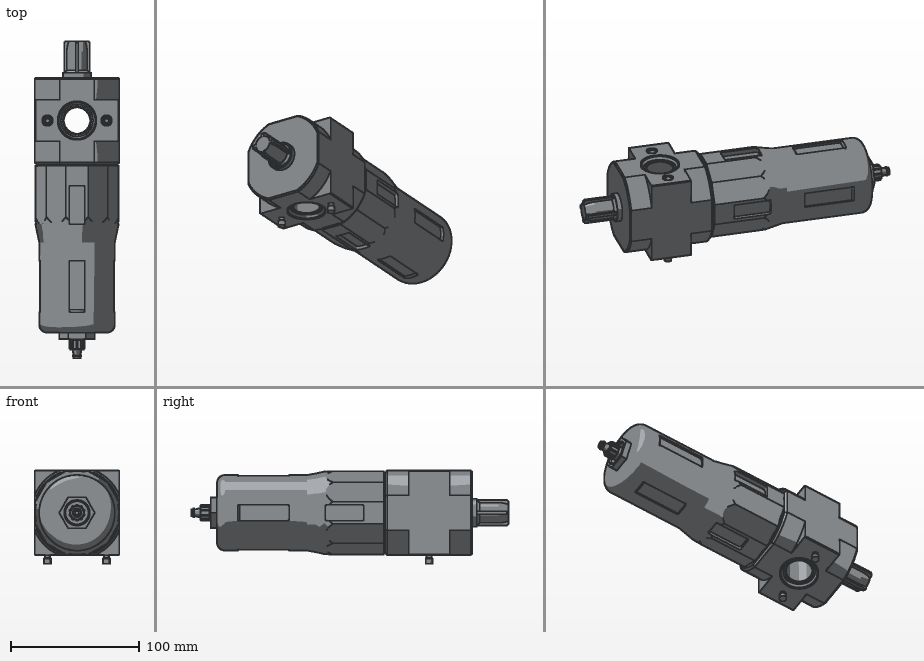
import cadquery as cq
import math


body_size = 66.0
body_edge_chamfer = 0.7
block_length = 32.0
barrel_dia = 71.4
barrel_top = 33.4
barrel_bottom = -34.2
top_chamfer = 1.1
bottom_chamfer = 1.7

port_dia = 20.4
port_step_dia = 22.0
port_step_depth = 3.5
port_seat_dia = 25.0
port_seat_depth = 2.8
port_cone_dia = 28.4
port_mouth_dia = 30.2
port_mouth_depth = 0.8

collar_dia = 22.0
collar_top = 37.1
dome_dia = 16.0
dome_flare_dia = 19.6
dome_flare_top = 39.3
dome_bend = 53.9
dome_waist_dia = 15.2
dome_tip_dia = 13.0
dome_top = 61.9
rib_span = 20.0
rib_thickness = 2.2
rib_top_chamfer = 1.3

bolt_offset = 23.0
bolt_mouth_dia = 8.4
bolt_mouth_depth = 0.9
bolt_head_dia = 7.1
bolt_head_top = body_size / 2 - bolt_mouth_depth
bolt_head_length = 6.4
bolt_shank_dia = 4.13
bolt_tip_dia = 5.6
bolt_tip_length = 4.7
bolt_tip_chamfer = 0.7
bolt_end = -39.8
bolt_socket_dia = 5.6
bolt_socket_depth = 3.0
bolt_drill_dia = 3.7
bolt_drill_depth = 5.0
drill_point_angle = 118.0

neck_dia = 62.0
sleeve_top = -35.3
sleeve_flats = 65.0
sleeve_sides = 12
taper_start = -75.0
taper_end = -95.0
bowl_dia = 59.0
bowl_bottom = -165.2
bowl_fillet = 6.3

slot_width = 12.2
slot_corner_radius = 1.0
slot_count = 4
sleeve_slot_top = -50.9
sleeve_slot_bottom = -80.8
sleeve_slot_floor_radius = 29.5
bowl_slot_top = -109.0
bowl_slot_bottom = -149.1
bowl_slot_floor_radius = 27.9
bowl_slot_ramp = 1.6

hex_sides = 6
hex_flats = 24.0
hex_length = 4.9
drain_bore_dia = 18.0
drain_bore_chamfer = 1.0

drain_stem_dia = 11.2
grip_dia = 12.6
grip_top = -171.2
grip_bottom = -178.3
grip_bevel = 1.2
groove_count = 10
groove_width = 2.9
groove_depth = (grip_dia - drain_stem_dia) / 2
spout_root_dia = 6.8
spout_root_bottom = -179.6
spout_taper_bottom = -181.6
spout_dia = 5.6
spout_ring_top = -182.8
spout_ring_bottom = -183.6
drain_end = -185.1
spout_bore_dia = 3.0
spout_bore_depth = 5.0


def revolve_about_y(outline):
    """Turn an outline of (radius, y) points about the Y axis."""
    return cq.Workplane("XY").polyline(outline).close().revolve(360, (0, 0, 0), (0, 1, 0))


def prism_along_y(y_low, y_high):
    """Workplane at y_high that extrudes toward -Y, and the length that reaches y_low."""
    return cq.Workplane("XZ", origin=(0, y_high, 0)), y_high - y_low


def revolve_about_z(outline):
    """Turn an outline of (radius, z) points about the Z axis."""
    return cq.Workplane("XZ").polyline(outline).close().revolve(360, (0, 0, 0), (0, 1, 0))


def cross_block():
    """Square body rounded to a barrel at both ends, leaving a square block around the port."""
    plane, length = prism_along_y(barrel_bottom, barrel_top)
    square = plane.rect(body_size, body_size).extrude(length).edges("|Y").chamfer(body_edge_chamfer)
    barrel = plane.circle(barrel_dia / 2).extrude(length)
    block = cq.Workplane("XY").box(2 * body_size, block_length, 2 * body_size)
    body = square.intersect(barrel.union(block))
    body = body.faces(">Y").edges().chamfer(top_chamfer)
    return body.faces("<Y").edges().chamfer(bottom_chamfer)


def dome():
    """Sight dome with its collar and four ribs."""
    core = (
        cq.Workplane("XY")
        .moveTo(0, barrel_top)
        .lineTo(collar_dia / 2, barrel_top)
        .lineTo(collar_dia / 2, collar_top)
        .lineTo(dome_flare_dia / 2, collar_top)
        .lineTo(dome_dia / 2, dome_flare_top)
        .lineTo(dome_dia / 2, dome_bend)
        .threePointArc((dome_waist_dia / 2, (dome_bend + dome_top) / 2), (dome_tip_dia / 2, dome_top))
        .lineTo(0, dome_top)
        .close()
        .revolve(360, (0, 0, 0), (0, 1, 0))
    )
    plane, length = prism_along_y(collar_top, dome_top)
    rib = plane.rect(rib_span, rib_thickness).extrude(length)
    rib = rib.faces(">Y").edges("<X or >X").chamfer(rib_top_chamfer)
    return core.union(rib).union(rib.rotate((0, 0, 0), (0, 1, 0), 90))


def port_cut():
    """Through port with a stepped, conical seat at both faces."""
    half = body_size / 2
    profile = [
        (0, 0),
        (port_dia / 2, 0),
        (port_dia / 2, half - port_step_depth),
        (port_step_dia / 2, half - port_step_depth),
        (port_step_dia / 2, half - port_seat_depth),
        (port_seat_dia / 2, half - port_seat_depth),
        (port_cone_dia / 2, half - port_mouth_depth),
        (port_mouth_dia / 2, half - port_mouth_depth),
        (port_mouth_dia / 2, half),
        (0, half),
    ]
    upper = revolve_about_z(profile)
    return upper.union(upper.mirror("XY"))


def bolt_blank(x):
    """Outside shape of one connecting bolt, head at the top and tip below the housing."""
    head_bottom = bolt_head_top - bolt_head_length
    tip_top = bolt_end + bolt_tip_length
    tip_radius = bolt_tip_dia / 2
    profile = [
        (0, bolt_end),
        (tip_radius, bolt_end),
        (tip_radius, tip_top - bolt_tip_chamfer),
        (tip_radius - bolt_tip_chamfer, tip_top),
        (bolt_shank_dia / 2, tip_top),
        (bolt_shank_dia / 2, head_bottom),
        (bolt_head_dia / 2, head_bottom),
        (bolt_head_dia / 2, bolt_head_top),
        (0, bolt_head_top),
    ]
    blank = revolve_about_z(profile)
    return blank.translate((x, 0, 0))


def bolt_socket(x):
    """Stepped blind hole with a drill point in the bolt head."""
    drill_radius = bolt_drill_dia / 2
    point_length = drill_radius / math.tan(math.radians(drill_point_angle / 2))
    profile = [
        (0, bolt_head_top),
        (bolt_socket_dia / 2, bolt_head_top),
        (drill_radius, bolt_head_top - bolt_socket_depth),
        (drill_radius, bolt_head_top - bolt_drill_depth),
        (0, bolt_head_top - bolt_drill_depth - point_length),
    ]
    socket = revolve_about_z(profile)
    return socket.translate((x, 0, 0))


def bolt_mouth(x):
    """Conical mouth in the housing above a bolt head."""
    profile = [
        (0, body_size / 2),
        (bolt_mouth_dia / 2, body_size / 2),
        (bolt_head_dia / 2, bolt_head_top),
        (0, bolt_head_top),
    ]
    mouth = revolve_about_z(profile)
    return mouth.translate((x, 0, 0))


def slot_cut(y_low, y_high, floor_radius):
    """One sight slot on the +Z side, with a floor coaxial with the bowl."""
    length = y_high - y_low
    top = body_size / 2
    slot = (
        cq.Workplane("XY", origin=(0, (y_low + y_high) / 2, 0))
        .rect(slot_width, length)
        .extrude(top)
        .edges("|Z")
        .fillet(slot_corner_radius)
    )
    plane, floor_length = prism_along_y(y_low, y_high)
    return slot.cut(plane.circle(floor_radius).extrude(floor_length))


def slot_ramp():
    """Conical rise at the lower end of the bowl slots."""
    return revolve_about_y([
        (0, bowl_slot_bottom),
        (bowl_slot_floor_radius + bowl_slot_ramp, bowl_slot_bottom),
        (bowl_slot_floor_radius, bowl_slot_bottom + bowl_slot_ramp),
        (0, bowl_slot_bottom + bowl_slot_ramp),
    ])


def guard():
    """Twelve-sided sleeve that tapers into the round bowl."""
    neck_plane, neck_length = prism_along_y(sleeve_top, barrel_bottom)
    neck = neck_plane.circle(neck_dia / 2).extrude(neck_length)

    corner_radius = sleeve_flats / 2 / math.cos(math.pi / sleeve_sides)
    envelope = revolve_about_y([
        (0, bowl_bottom),
        (bowl_dia / 2, bowl_bottom),
        (bowl_dia / 2, taper_end),
        (corner_radius, taper_start),
        (corner_radius, sleeve_top),
        (0, sleeve_top),
    ])
    envelope = envelope.faces("<Y").edges().fillet(bowl_fillet)
    prism_plane, prism_length = prism_along_y(bowl_bottom, sleeve_top)
    prism = (
        prism_plane.transformed(rotate=(0, 0, 180 / sleeve_sides))
        .polygon(sleeve_sides, 2 * corner_radius)
        .extrude(prism_length)
    )
    solid = envelope.intersect(prism).union(neck)

    sleeve_slot = slot_cut(sleeve_slot_bottom, sleeve_slot_top, sleeve_slot_floor_radius)
    bowl_slot = slot_cut(bowl_slot_bottom, bowl_slot_top, bowl_slot_floor_radius).cut(slot_ramp())
    for index in range(slot_count):
        angle = index * 360 / slot_count
        solid = solid.cut(sleeve_slot.rotate((0, 0, 0), (0, 1, 0), angle))
        solid = solid.cut(bowl_slot.rotate((0, 0, 0), (0, 1, 0), angle))
    return solid


def drain_seat():
    """Hexagon under the bowl with a chamfered bore around the drain."""
    hex_bottom = bowl_bottom - hex_length
    plane, length = prism_along_y(hex_bottom, bowl_bottom)
    seat = plane.polygon(hex_sides, hex_flats / math.cos(math.pi / hex_sides)).extrude(length)
    bore = plane.circle(drain_bore_dia / 2).extrude(length)
    return seat.cut(bore).faces("<Y").edges("%CIRCLE").chamfer(drain_bore_chamfer)


def drain_valve():
    """Stem, grooved grip and hose spout of the drain."""
    stem_radius = drain_stem_dia / 2
    grip_radius = grip_dia / 2
    root_radius = spout_root_dia / 2
    spout_radius = spout_dia / 2
    valve = revolve_about_y([
        (0, bowl_bottom),
        (stem_radius, bowl_bottom),
        (stem_radius, grip_top),
        (grip_radius, grip_top),
        (grip_radius, grip_bottom + grip_bevel),
        (grip_radius - grip_bevel, grip_bottom),
        (root_radius, grip_bottom),
        (root_radius, spout_root_bottom),
        (spout_radius, spout_taper_bottom),
        (spout_radius, spout_ring_top),
        (root_radius, spout_ring_top),
        (root_radius, spout_ring_bottom),
        (spout_radius, spout_ring_bottom),
        (spout_radius, drain_end),
        (0, drain_end),
    ])
    plane, length = prism_along_y(grip_bottom, grip_top)
    groove = plane.center(0, grip_radius).rect(groove_width, 2 * groove_depth).extrude(length)
    for index in range(groove_count):
        angle = (index + 0.5) * 360 / groove_count
        valve = valve.cut(groove.rotate((0, 0, 0), (0, 1, 0), angle))
    return valve.faces("<Y").workplane().hole(spout_bore_dia, spout_bore_depth)


bolt_places = [-bolt_offset, bolt_offset]

housing = cross_block().union(dome()).cut(port_cut())
for x in bolt_places:
    housing = housing.cut(bolt_blank(x)).cut(bolt_mouth(x))

bowl = guard().union(drain_seat()).union(drain_valve())

bolts = [bolt_blank(x).cut(bolt_socket(x)) for x in bolt_places]

result = cq.Compound.makeCompound([
    housing.val(),
    bowl.val(),
    *[bolt.val() for bolt in bolts],
])